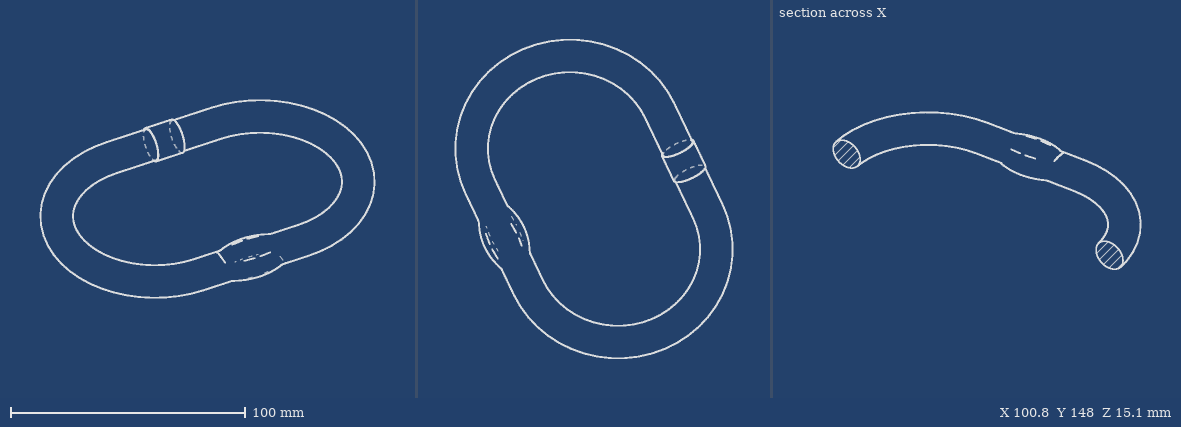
import cadquery as cq
import math

bar_diameter = 14.0
bend_radius = 42.0
straight_length = 50.0

sleeve_diameter = 15.05
sleeve_length = 12.5

bulge_half_width = 9.25
bulge_side_radius = 28.0
bulge_thickness = 10.3
bulge_edge_radius = 3.0
bulge_blend_radius = 4.5
bulge_end_half_width = 5.5

flat_length = 28.0
slope_run = 0.8
foot_radius = 0.6
rim_radius = 1.25

seam_start = 8.0
seam_half_height = 4.0

bar_radius = bar_diameter / 2
half_straight = straight_length / 2
flat_height = bulge_thickness / 2


def make_leg(x):
    """Straight bar along Y, centred on the given X."""
    return (
        cq.Workplane("XZ", origin=(x, half_straight, 0))
        .circle(bar_radius)
        .extrude(straight_length)
    )


def make_bend(direction):
    """Half-torus end bend; direction +1 is the +Y end, -1 the -Y end."""
    bar_end = (bend_radius, direction * half_straight, 0)
    profile = cq.Workplane("XZ", origin=bar_end).circle(bar_radius)
    return profile.revolve(180, (-bend_radius, 0, 0), (-bend_radius, direction, 0))


def make_sleeve():
    """Collar around the middle of the -X leg."""
    return (
        cq.Workplane("XZ", origin=(-bend_radius, sleeve_length / 2, 0))
        .circle(sleeve_diameter / 2)
        .extrude(sleeve_length)
    )


def make_flat_cutter(side):
    """Material above (side +1) or below (side -1) a flat, with sloped ends."""
    cutter_height = bar_diameter
    run_per_height = slope_run / (bar_radius - flat_height)
    half_bottom = flat_length / 2
    half_top = half_bottom + run_per_height * (cutter_height - flat_height)
    return (
        cq.Workplane("YZ", origin=(bend_radius, 0, 0))
        .moveTo(-half_bottom, side * flat_height)
        .lineTo(half_bottom, side * flat_height)
        .lineTo(half_top, side * cutter_height)
        .lineTo(-half_top, side * cutter_height)
        .close()
        .extrude(bar_radius, both=True)
    )


def make_bulge():
    """Lens-shaped plate with rounded edges, centred on the +X leg."""
    sagitta = bulge_half_width - bulge_end_half_width
    half_length = math.sqrt(bulge_side_radius**2 - (bulge_side_radius - sagitta) ** 2)
    return (
        cq.Workplane("XY", origin=(bend_radius, 0, -flat_height))
        .moveTo(bulge_end_half_width, -half_length)
        .threePointArc((bulge_half_width, 0), (bulge_end_half_width, half_length))
        .lineTo(-bulge_end_half_width, half_length)
        .threePointArc((-bulge_half_width, 0), (-bulge_end_half_width, -half_length))
        .close()
        .extrude(bulge_thickness)
        .faces("<Z or >Z")
        .edges("%CIRCLE")
        .fillet(bulge_edge_radius)
    )


def fillet_feet(leg):
    """Round the inside corner where each flat meets its two slopes."""
    return leg.edges("|X").fillet(foot_radius)


def blend_bulge_ends(leg):
    """Blend the bulged sides into the bar along the four seams between them."""
    for end in (1, -1):
        seam_zone = cq.selectors.BoxSelector(
            (bend_radius - bulge_half_width, end * seam_start, -seam_half_height),
            (bend_radius + bulge_half_width, end * half_straight, seam_half_height),
        )
        seam = leg.edges("%BSPLINE").edges(seam_zone)
        leg = leg.newObject(seam.vals()).fillet(bulge_blend_radius)
    return leg


def round_rims(leg):
    """Round the edges where the bar surface meets the flats and their slopes."""
    slope_rims = leg.edges("%ELLIPSE").vals()
    side_rims = [edge for edge in leg.edges("|Y").vals() if abs(edge.Center().z) > seam_half_height]
    return leg.newObject(slope_rims + side_rims).fillet(rim_radius)


def make_bulged_leg():
    """The +X leg with its flats, bulge and blends."""
    leg = make_leg(bend_radius)
    for side in (1, -1):
        leg = leg.cut(make_flat_cutter(side))
    leg = fillet_feet(leg)
    leg = leg.union(make_bulge())
    leg = blend_bulge_ends(leg)
    return round_rims(leg)


def make_ring():
    ring = make_bulged_leg().union(make_leg(-bend_radius))
    for direction in (1, -1):
        ring = ring.union(make_bend(direction))
    return ring.union(make_sleeve())


result = make_ring()